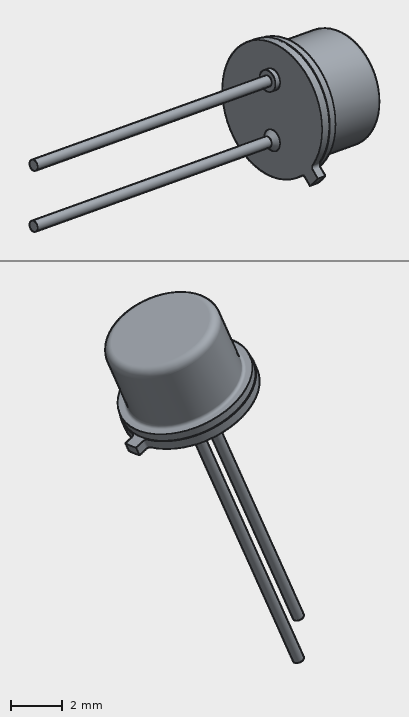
import cadquery as cq
import math

total_length = 16.38
body_length = 3.67
back_y = body_length
lead_tip_y = back_y - total_length

header_radius = 2.793
header_thickness = 0.41

rim_radius = 2.75
rim_thickness = 0.35
can_radius = 2.36
can_end_round = 0.35
can_root_round = 0.13

tab_angle = -45.0
tab_width = 0.62
tab_tip_radius = 3.31
tab_root_round = 0.15

lead_radius = 0.23
lead_offset = 1.27
collar_radius = 0.45
collar_length = 0.25


def cylinder(radius, start_y, end_y, center_z=0.0):
    """Solid cylinder along Y between two Y positions."""
    base = cq.Workplane("XZ", origin=(0, start_y, center_z))
    return base.circle(radius).extrude(start_y - end_y)


def make_header():
    """Header disc with a round-ended tab and rounded tab roots."""
    half_width = tab_width / 2
    round_center_across = half_width + tab_root_round
    center_distance = header_radius + tab_root_round
    round_center_along = math.sqrt(center_distance**2 - round_center_across**2)
    disc_share = header_radius / center_distance
    disc_touch_along = round_center_along * disc_share
    disc_touch_across = round_center_across * disc_share
    disc_direction = math.atan2(-round_center_across, -round_center_along)
    side_direction = -math.pi / 2
    middle_direction = (disc_direction + side_direction) / 2
    arc_middle_along = round_center_along + tab_root_round * math.cos(middle_direction)
    arc_middle_across = round_center_across + tab_root_round * math.sin(middle_direction)
    tip_along = math.sqrt(tab_tip_radius**2 - half_width**2)

    outline = (
        cq.Workplane("XZ")
        .moveTo(disc_touch_along, disc_touch_across)
        .threePointArc((arc_middle_along, arc_middle_across), (round_center_along, half_width))
        .lineTo(tip_along, half_width)
        .threePointArc((tab_tip_radius, 0), (tip_along, -half_width))
        .lineTo(round_center_along, -half_width)
        .threePointArc((arc_middle_along, -arc_middle_across), (disc_touch_along, -disc_touch_across))
        .threePointArc((-header_radius, 0), (disc_touch_along, disc_touch_across))
        .close()
    )
    return outline.extrude(-header_thickness).rotate((0, 0, 0), (0, 1, 0), -tab_angle)


def make_cap():
    """Revolved rim and can, with a concave root and a rounded far edge."""
    rim_top = header_thickness + rim_thickness
    diagonal = math.sqrt(0.5)
    root_middle = can_root_round * (1 - diagonal)
    end_middle = can_end_round * (1 - diagonal)
    profile = (
        cq.Workplane("XY")
        .moveTo(0, header_thickness)
        .lineTo(rim_radius, header_thickness)
        .lineTo(rim_radius, rim_top)
        .lineTo(can_radius + can_root_round, rim_top)
        .threePointArc(
            (can_radius + root_middle, rim_top + root_middle),
            (can_radius, rim_top + can_root_round),
        )
        .lineTo(can_radius, back_y - can_end_round)
        .threePointArc(
            (can_radius - end_middle, back_y - end_middle),
            (can_radius - can_end_round, back_y),
        )
        .lineTo(0, back_y)
        .close()
    )
    return profile.revolve(360, (0, 0, 0), (0, 1, 0))


def make_lead(center_z):
    """Straight round lead that starts at the header face."""
    return cylinder(lead_radius, 0, lead_tip_y, center_z)


def make_cone_collar():
    """Collar of the lower lead, tapering from the header to the lead."""
    cone = cq.Solid.makeCone(
        collar_radius, lead_radius, collar_length,
        cq.Vector(0, 0, -lead_offset), cq.Vector(0, -1, 0),
    )
    return cq.Workplane(cone)


straight_collar = cylinder(collar_radius, 0, -collar_length, lead_offset)

result = make_header().union(make_cap())
for side in (1, -1):
    result = result.union(make_lead(side * lead_offset))
result = result.union(straight_collar).union(make_cone_collar())